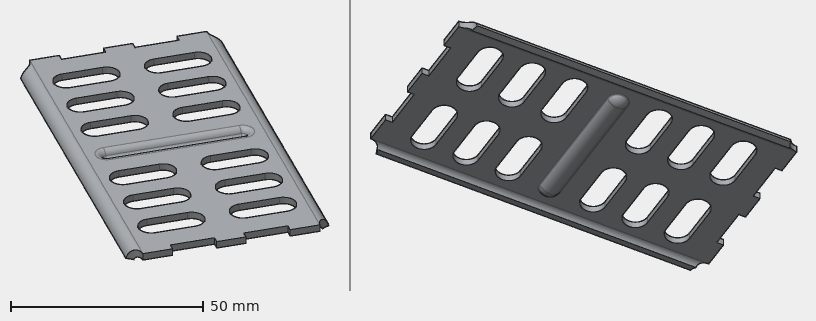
import cadquery as cq
import math

sheet = 2.0
length = 100.0
overall_width = 55.3

lip_radius = 3.6
lip_angle = math.radians(80)
lip_reach = lip_radius * math.sin(lip_angle)
flat_half_width = overall_width / 2 - lip_reach
corner_radius = 3.5

notch_depth = 2.0
notch_width = 12.0
notch_offset = 10.0

slot_width = 7.0
slot_length = 18.0
slot_pitch = 12.5
slots_per_side = 3
slot_offset = 12.5

bead_inner_radius = 1.2
bead_outer_radius = bead_inner_radius + sheet
bead_center_z = -sheet + bead_inner_radius
bead_top_fillet = 2.2
bead_bottom_fillet = bead_top_fillet - sheet
bead_straight = 37.0
bead_half_width = math.sqrt(
    (bead_inner_radius + bead_top_fillet) ** 2 - (bead_top_fillet + bead_center_z) ** 2
)


def on_arc(center, radius, angle):
    """Point on a circle, with the angle measured from the first axis."""
    return (center[0] + radius * math.cos(angle), center[1] + radius * math.sin(angle))


def make_plate():
    plate = cq.Workplane("XY").box(length, 2 * flat_half_width, sheet, centered=(True, True, False))
    return plate.translate((0, 0, -sheet))


def make_lip():
    """Lip on the +Y side, bent down around a line under the plate edge."""
    center = (flat_half_width, -lip_radius)
    inner_radius = lip_radius - sheet
    top = math.pi / 2
    middle = top - lip_angle / 2
    end = top - lip_angle
    return (
        cq.Workplane("YZ", origin=(-length / 2, 0, 0))
        .moveTo(*on_arc(center, lip_radius, top))
        .threePointArc(on_arc(center, lip_radius, middle), on_arc(center, lip_radius, end))
        .lineTo(*on_arc(center, inner_radius, end))
        .threePointArc(on_arc(center, inner_radius, middle), on_arc(center, inner_radius, top))
        .close()
        .extrude(length)
    )


def bead_half_profile(plane, radius, fillet, edge_z):
    """Half of a bead section: round bottom, flared by a fillet into the level edge_z."""
    bottom_center = (0, bead_center_z)
    fillet_center = (bead_half_width, -bead_top_fillet)
    slope = math.atan2(fillet_center[1] - bead_center_z, bead_half_width)
    bottom_middle = (slope - math.pi / 2) / 2
    fillet_start = slope + math.pi
    fillet_middle = (fillet_start + math.pi / 2) / 2
    return (
        plane.moveTo(0, edge_z)
        .lineTo(0, bead_center_z - radius)
        .threePointArc(on_arc(bottom_center, radius, bottom_middle), on_arc(bottom_center, radius, slope))
        .threePointArc(on_arc(fillet_center, fillet, fillet_middle), (bead_half_width, edge_z))
        .close()
    )


def bead_body(radius, fillet, edge_z):
    """Straight bead along Y with revolved round ends."""
    half_straight = bead_straight / 2
    profile = bead_half_profile(cq.Workplane("XZ"), radius, fillet, edge_z)
    half = profile.extrude(half_straight, both=True)
    body = half.union(half.mirror("YZ"))
    for side in (-1, 1):
        profile = bead_half_profile(cq.Workplane("XZ"), radius, fillet, edge_z)
        end = profile.revolve(360, (0, 0, 0), (0, 1, 0))
        body = body.union(end.translate((0, side * half_straight, 0)))
    return body


def round_corners(body):
    """Concave quarter-round reliefs at the four lip ends."""
    corners = (
        cq.Workplane("XY")
        .rect(length, overall_width, forConstruction=True)
        .vertices()
        .circle(corner_radius)
        .extrude(-2 * lip_radius)
    )
    return body.cut(corners)


def cut_notches(body):
    centers = [(x * length / 2, y * notch_offset) for x in (-1, 1) for y in (-1, 1)]
    notches = cq.Workplane("XY").pushPoints(centers).rect(2 * notch_depth, notch_width).extrude(-sheet)
    return body.cut(notches)


def cut_slots(body):
    centers = [
        (side * column * slot_pitch, row * slot_offset)
        for side in (-1, 1)
        for column in range(1, slots_per_side + 1)
        for row in (-1, 1)
    ]
    slots = cq.Workplane("XY").pushPoints(centers).slot2D(slot_length, slot_width, 90).extrude(-sheet)
    return body.cut(slots)


lip = make_lip()
body = make_plate().union(lip).union(lip.mirror("XZ"))
body = round_corners(body)
body = cut_notches(body)
body = cut_slots(body)
body = body.union(bead_body(bead_outer_radius, bead_bottom_fillet, -sheet))
result = body.cut(bead_body(bead_inner_radius, bead_top_fillet, 0))